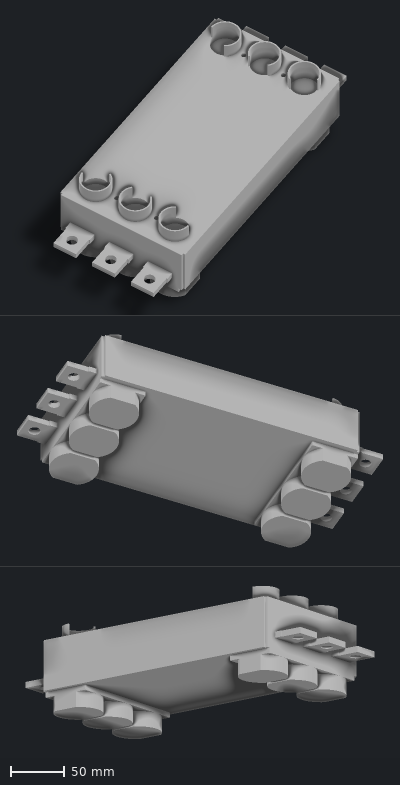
import cadquery as cq

body_width = 141.0
body_length = 266.8
body_height = 49.5
notch_width = 2.3
notch_length = 2.5

pole_pitch = 44.8
step_height = 5.0
foot_height = 15.0
foot_diameter = 47.0
foot_width = 40.0

sleeve_height = 14.7
sleeve_outer_diameter = 31.5
pocket_diameter = 28.5
pocket_depth = 8.2
sleeve_row_y = 109.5

pin_hole_diameter = 5.0
pin_hole_depth = 7.5
pin_hole_row_y = 107.5

overall_length = 327.0
tab_pitch = 43.8
tab_width = 25.5
tab_root_width = 27.5
tab_root_length = 8.2
tab_thickness = 6.0
tab_top_drop = 32.5
tab_hole_diameter = 11.0
tab_hole_from_tip = 12.5

body_top = step_height + foot_height + body_height
body_bottom = body_top - body_height
body_end = body_length / 2
tab_top = body_top - tab_top_drop
tab_bottom = tab_top - tab_thickness

sleeve_openings = [(-1, 180, 300), (0, 225, 315), (1, 240, 360)]


def box(width, y_start, y_end, bottom, height, center_x=0):
    """Box centred in X on center_x, between two Y positions, standing on a given height."""
    length = y_end - y_start
    return (
        cq.Workplane("XY", origin=(center_x, y_start + length / 2, bottom))
        .rect(width, length)
        .extrude(height)
    )


def cylinder(x, y, bottom, diameter, height):
    return cq.Workplane("XY", origin=(x, y, bottom)).circle(diameter / 2).extrude(height)


def make_body():
    body = box(body_width, -body_end, body_end, body_bottom, body_height)
    notches = (
        cq.Workplane("XY", origin=(0, 0, body_bottom))
        .rect(body_width, body_length, forConstruction=True)
        .vertices()
        .rect(2 * notch_width, 2 * notch_length)
        .extrude(body_height)
    )
    return body.cut(notches)


def make_feet():
    step_width = 2 * pole_pitch + foot_width
    foot_inner_y = body_end - foot_diameter
    feet = box(step_width, foot_inner_y, body_end, foot_height, step_height)
    for column in (-1, 0, 1):
        x = column * pole_pitch
        foot = cylinder(x, body_end - foot_diameter / 2, 0, foot_diameter, foot_height)
        flats = box(foot_width, foot_inner_y, body_end, 0, foot_height, x)
        feet = feet.union(foot.intersect(flats))
    return feet


def make_sleeve(x, start_angle, end_angle):
    """Ring with a radially cut opening between the two angles."""
    ring = (
        cq.Workplane("XY", origin=(x, sleeve_row_y, body_top))
        .circle(sleeve_outer_diameter / 2)
        .circle(pocket_diameter / 2)
        .extrude(sleeve_height)
    )
    opening = (
        cq.Workplane("XZ", origin=(x, sleeve_row_y, body_top))
        .rect(sleeve_outer_diameter, sleeve_height, centered=False)
        .revolve(end_angle - start_angle, (0, 0), (0, 1))
        .rotate((x, sleeve_row_y, 0), (x, sleeve_row_y, 1), start_angle)
    )
    return ring.cut(opening)


def make_tab(x):
    root = box(tab_root_width, 0, body_end + tab_root_length, tab_bottom, tab_thickness, x)
    blade = box(tab_width, 0, overall_length / 2, tab_bottom, tab_thickness, x)
    hole_y = overall_length / 2 - tab_hole_from_tip
    return root.union(blade).cut(cylinder(x, hole_y, tab_bottom, tab_hole_diameter, tab_thickness))


def add_both_ends(shape, feature):
    """Join the feature at the +Y end and its mirror image at the -Y end."""
    return shape.union(feature).union(feature.mirror("XZ"))


def cut_both_ends(shape, feature):
    return shape.cut(feature).cut(feature.mirror("XZ"))


result = add_both_ends(make_body(), make_feet())

for column in (-1, 0, 1):
    result = add_both_ends(result, make_tab(column * tab_pitch))

for column, start_angle, end_angle in sleeve_openings:
    x = column * pole_pitch
    result = add_both_ends(result, make_sleeve(x, start_angle, end_angle))
    pocket = cylinder(x, sleeve_row_y, body_top - pocket_depth, pocket_diameter, pocket_depth)
    result = cut_both_ends(result, pocket)

for side in (-1, 1):
    x = side * pole_pitch / 2
    hole = cylinder(x, pin_hole_row_y, body_top - pin_hole_depth, pin_hole_diameter, pin_hole_depth)
    result = cut_both_ends(result, hole)